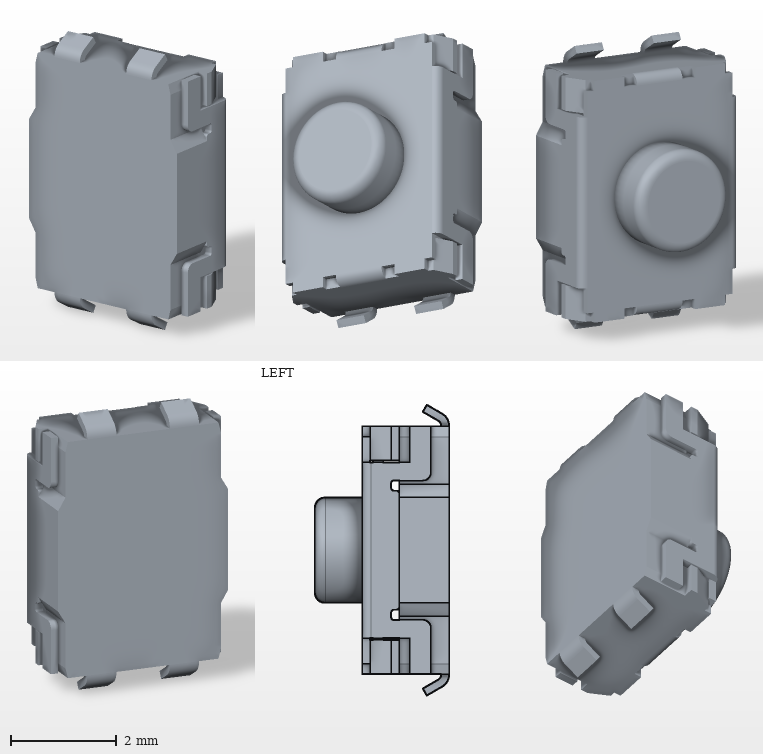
import cadquery as cq
import math


width = 3.5
housing_length = 4.7
overall_length = 5.51
overall_height = 2.55
sheet = 0.15

cover_top = 1.65
cover_underside = cover_top - sheet
base_top = 0.95

half_width = width / 2
half_length = housing_length / 2
inner_half_width = half_width - sheet

bulge_half_length = 1.0
bulge_ramp_end = 1.25
corner_taper_start = 2.15
corner_taper = 0.05
block_start = 1.7
block_bevel_bottom = 1.1
block_bevel_width = 0.2

wall_half_length = 1.665
bend_radius = 0.16
tab_inner = 0.785
tab_outer = 1.44
notch_start = 2.15
clip_width = 1.0
clip_bottom = base_top
clip_bend_radius = 0.2
arm_inner = 1.32
leg_bottom = 0.35
leg_top = 0.75
leg_corner_radius = 0.15
window_inner = 1.13
window_top = 1.1
window_radius = 0.05

button_diameter = 2.0
button_rim_radius = 0.2
flange_bottom = 1.25
flange_top = 1.45
flange_corner = 0.375

terminal_pitch = 1.7
terminal_width = 0.6
terminal_start = 1.35
terminal_thickness = 0.155
terminal_foot_thickness = 0.25
terminal_bend_radius = 0.275
terminal_bend_angle = 60


def block(x_range, y_range, z_range):
    """Box between the given coordinates."""
    lows, highs = zip(x_range, y_range, z_range)
    sizes = [high - low for low, high in zip(lows, highs)]
    return cq.Workplane("XY").box(*sizes, centered=False).translate(lows)


def both_sides(shape):
    """The shape and its copy across the X = 0 plane."""
    return shape.union(shape.mirror("YZ"))


def both_ends(shape):
    """The shape and its copy across the Z = 0 plane."""
    return shape.union(shape.mirror("XY"))


def make_terminal(x_centre, z_sign):
    """Foot flush with the mounting face, with a thinner lip bent up outside the housing."""
    angle = math.radians(terminal_bend_angle)
    outer = terminal_bend_radius
    inner = outer - terminal_thickness

    def on_bend(radius, turn):
        return (outer - radius * math.cos(turn), half_length + radius * math.sin(turn))

    bend_end = on_bend(outer, angle)
    tip_z = overall_length / 2
    tip_y = bend_end[0] + (tip_z - bend_end[1]) * math.tan(angle)
    inner_tip_y = tip_y + terminal_thickness * math.cos(angle)
    inner_tip_z = tip_z - terminal_thickness * math.sin(angle)
    terminal = (
        cq.Workplane("YZ", origin=(x_centre, 0, 0))
        .moveTo(0, terminal_start)
        .lineTo(0, half_length)
        .threePointArc(on_bend(outer, angle / 2), bend_end)
        .lineTo(tip_y, tip_z)
        .lineTo(inner_tip_y, inner_tip_z)
        .lineTo(*on_bend(inner, angle))
        .threePointArc(on_bend(inner, angle / 2), (terminal_thickness, half_length))
        .lineTo(terminal_foot_thickness, half_length)
        .lineTo(terminal_foot_thickness, terminal_start)
        .close()
        .extrude(terminal_width / 2, both=True)
    )
    return terminal if z_sign > 0 else terminal.mirror("XY")


def cover_plate():
    """Top plate, channel-shaped with the side walls, and tabs at both ends."""
    wall_range = (-wall_half_length, wall_half_length)
    channel = block((-half_width, half_width), (base_top, cover_top), wall_range)
    channel = channel.edges("|Z and >Y").fillet(bend_radius)
    hollow = block((-inner_half_width, inner_half_width), (base_top, cover_underside), wall_range)
    channel = channel.cut(hollow)

    plate_y = (cover_underside, cover_top)
    plate = block((-inner_half_width, inner_half_width), plate_y, (-half_length, half_length))
    notch_z = (notch_start, half_length)
    corner_notch = block((tab_outer, inner_half_width), plate_y, notch_z)
    clip_opening = block((0, tab_inner), plate_y, notch_z)
    plate = plate.cut(both_ends(both_sides(corner_notch.union(clip_opening))))
    return channel.union(plate)


def cover_clip():
    """Clip at the +Z end, bent down over the end face of the housing."""
    half_clip = clip_width / 2
    clip = block(
        (-half_clip, half_clip), (clip_bottom, cover_top), (wall_half_length, half_length)
    )
    clip = clip.edges("|X and >Y and >Z").fillet(clip_bend_radius)
    under_clip = block(
        (-half_clip, half_clip),
        (clip_bottom, cover_underside),
        (wall_half_length, half_length - sheet),
    )
    return clip.cut(under_clip.edges("|X and >Y and >Z").fillet(clip_bend_radius - sheet))


def cover_leg():
    """L-shaped leg of the -X wall at the +Z end: an arm down, then along Z."""
    leg_x = (-half_width, -inner_half_width)
    arm = block(leg_x, (leg_bottom, base_top), (arm_inner, wall_half_length))
    foot = block(leg_x, (leg_bottom, leg_top), (arm_inner, half_length))
    return arm.union(foot).edges("|X and <Y and <Z").fillet(leg_corner_radius)


def cover_window():
    """Rounded notch in the lower edge of the -X wall, beside the arm."""
    r = window_radius
    return (
        cq.Workplane("YZ", origin=(-half_width, 0, 0))
        .moveTo(base_top, arm_inner)
        .lineTo(window_top - r, arm_inner)
        .radiusArc((window_top, arm_inner - r), r)
        .lineTo(window_top, window_inner + r)
        .radiusArc((window_top - r, window_inner), r)
        .lineTo(base_top + r, window_inner)
        .radiusArc((base_top, window_inner - r), -r)
        .close()
        .extrude(sheet)
    )


def make_cover():
    cover = cover_plate().union(both_ends(cover_clip()))
    cover = cover.union(both_ends(both_sides(cover_leg())))
    cover = cover.cut(both_ends(both_sides(cover_window())))
    button_hole = (
        cq.Workplane("XZ", origin=(0, cover_top, 0)).circle(button_diameter / 2).extrude(sheet)
    )
    return cover.cut(button_hole)


def make_button():
    """Round button on a square flange with cut corners, held under the cover."""
    stem = (
        cq.Workplane("XZ", origin=(0, overall_height, 0))
        .circle(button_diameter / 2)
        .extrude(overall_height - flange_bottom)
        .faces(">Y")
        .edges()
        .fillet(button_rim_radius)
    )
    flange = block(
        (-inner_half_width, inner_half_width),
        (flange_bottom, flange_top),
        (-block_start, block_start),
    )
    return stem.union(flange.edges("|Y").chamfer(flange_corner))


def make_housing(cover, terminals):
    """Base with a bulge on each side and a raised block at each end."""
    quarter = [
        (half_width, 0),
        (half_width, bulge_half_length),
        (inner_half_width, bulge_ramp_end),
        (inner_half_width, corner_taper_start),
        (inner_half_width - corner_taper, half_length),
        (0, half_length),
        (0, 0),
    ]
    base_quarter = (
        cq.Workplane("XZ", origin=(0, base_top, 0)).polyline(quarter).close().extrude(base_top)
    )
    base = both_ends(both_sides(base_quarter))

    bevel_top = half_width - block_bevel_width
    block_outline = [
        (-half_width, base_top),
        (half_width, base_top),
        (half_width, block_bevel_bottom),
        (bevel_top, cover_underside),
        (-bevel_top, cover_underside),
        (-half_width, block_bevel_bottom),
    ]
    end_block = (
        cq.Workplane("XY", origin=(0, 0, block_start))
        .polyline(block_outline)
        .close()
        .extrude(half_length - block_start)
    )
    housing = base.union(both_ends(end_block))

    clip_recess = block(
        (-clip_width / 2, clip_width / 2),
        (clip_bottom, cover_underside),
        (half_length - sheet, half_length),
    )
    housing = housing.cut(both_ends(clip_recess))
    for fitted_part in [cover, *terminals]:
        housing = housing.cut(fitted_part)
    return housing


terminals = [
    make_terminal(x_sign * terminal_pitch / 2, z_sign)
    for x_sign in (-1, 1)
    for z_sign in (-1, 1)
]
cover = make_cover()
button = make_button()
housing = make_housing(cover, terminals)

result = cq.Compound.makeCompound(
    [housing.val(), cover.val(), button.val(), *[terminal.val() for terminal in terminals]]
)